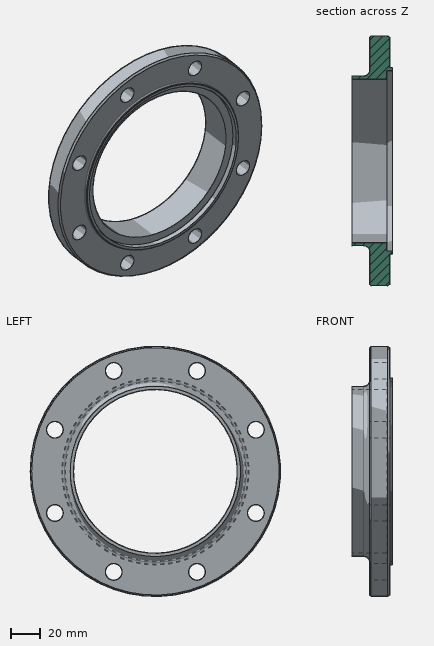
import cadquery as cq


bore_diameter = 109.7
neck_diameter = 114.3
flange_diameter = 168.0
raised_face_diameter = 125.6

total_length = 27.5
neck_length = 12.0
raised_face_height = 2.0
flange_face = total_length - raised_face_height
neck_fillet_radius = 4.0
rim_chamfer = 1.0
front_rim_chamfer_length = 1.5
raised_face_chamfer = 0.5
raised_face_base_fillet = 0.5

recess_diameter = 121.0
recess_depth = 3.9

bolt_count = 8
bolt_hole_diameter = 11.0
bolt_circle_diameter = 146.0
bolt_pitch_angle = 360.0 / bolt_count


def make_ring():
    """Revolve the section (X along the axis, Y as radius) about the X axis."""
    bore_radius = bore_diameter / 2
    neck_radius = neck_diameter / 2
    rim_radius = flange_diameter / 2
    recess_radius = recess_diameter / 2
    face_radius = raised_face_diameter / 2
    section = (
        cq.Workplane("XY")
        .moveTo(0, bore_radius)
        .lineTo(0, neck_radius)
        .lineTo(neck_length - neck_fillet_radius, neck_radius)
        .radiusArc((neck_length, neck_radius + neck_fillet_radius), -neck_fillet_radius)
        .lineTo(neck_length, rim_radius - rim_chamfer)
        .lineTo(neck_length + rim_chamfer, rim_radius)
        .lineTo(flange_face - front_rim_chamfer_length, rim_radius)
        .lineTo(flange_face, rim_radius - rim_chamfer)
        .lineTo(flange_face, face_radius + raised_face_base_fillet)
        .radiusArc((flange_face + raised_face_base_fillet, face_radius), -raised_face_base_fillet)
        .lineTo(total_length - raised_face_chamfer, face_radius)
        .lineTo(total_length, face_radius - raised_face_chamfer)
        .lineTo(total_length, recess_radius)
        .lineTo(total_length - recess_depth, recess_radius)
        .lineTo(total_length - recess_depth, bore_radius)
        .close()
    )
    return section.revolve(360, (0, 0, 0), (1, 0, 0))


def make_bolt_holes():
    """Cylinders on the bolt circle, straddling the Y and Z axes."""
    return (
        cq.Workplane("YZ")
        .polarArray(bolt_circle_diameter / 2, bolt_pitch_angle / 2, 360, bolt_count)
        .circle(bolt_hole_diameter / 2)
        .extrude(total_length)
    )


result = make_ring().cut(make_bolt_holes())